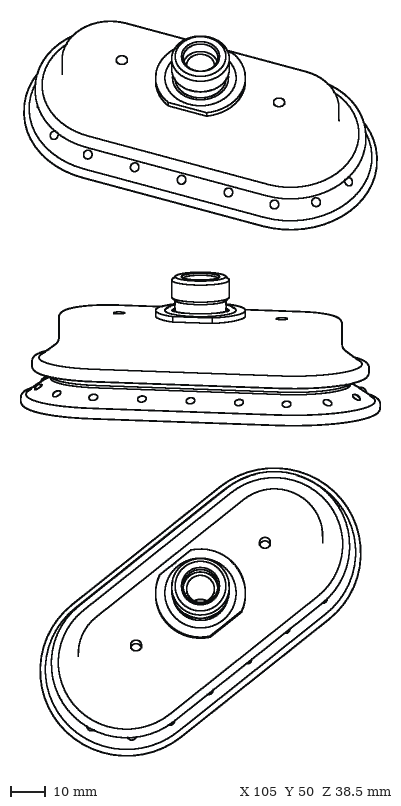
import cadquery as cq
import math

overall_length = 105.0
overall_width = 50.0
overall_height = 38.5
lip_radius = overall_width / 2
end_x = overall_length / 2 - lip_radius

lip_height = 3.1
lip_fillet = 1.0
lip_crease_radius = 23.5
lip_crease_inset = lip_radius - lip_fillet - lip_crease_radius
lip_crease_z = lip_height - lip_fillet + math.sqrt(lip_fillet**2 - lip_crease_inset**2)
lip_slope_bulge = 0.35

waist_radius = 16.4
waist_bottom_z = 7.75
waist_top_z = 8.45

bellows_radius = 21.75
bellows_bottom_z = 10.3
bellows_top_z = 13.8
bellows_fillet = 1.0
bellows_underside_radius = 20.0
bellows_cone_foot_radius = 19.75

body_radius = 14.0
body_top_z = 27.0
body_top_fillet = 1.5
body_cone_top_z = 18.1
body_foot_fillet = 3.0
blind_hole_diameter = 3.2
blind_hole_depth = 5.0
blind_hole_x = 24.0

plate_radius = 13.0
plate_flat_distance = 23.2
plate_top_z = 28.6
ring_outer_radius = 10.3
ring_inner_radius = 8.1
ring_rise = 0.6

neck_diameter = 14.8
neck_top_z = 31.6
head_diameter = 16.66
head_bottom_z = 32.5
head_top_chamfer = 1.0
bore_diameter = 8.0
counterbore_diameter = 10.0
counterbore_depth = 4.0
counterbore_chamfer = 0.5

nub_count = 18
nub_path_radius = 23.5
nub_base_radius = 1.25
nub_rise = 0.6


def slope_point(offset):
    """Point offset square to the lower lip's slope from the middle of its chord, as (radius, z)."""
    run = lip_crease_radius - waist_radius
    rise = waist_bottom_z - lip_crease_z
    chord = math.hypot(run, rise)
    radius = (lip_crease_radius + waist_radius) / 2 + offset * rise / chord
    z = (lip_crease_z + waist_bottom_z) / 2 + offset * run / chord
    return radius, z


def half_section():
    """Half cross-section of the cup in the YZ plane, traced counterclockwise from its centre line."""
    cone_angle = math.atan2(body_cone_top_z - bellows_top_z, bellows_cone_foot_radius - body_radius)
    tangent_length = body_foot_fillet * math.tan((math.pi / 2 - cone_angle) / 2)
    fillet_start = (
        body_radius + tangent_length * math.cos(cone_angle),
        body_cone_top_z - tangent_length * math.sin(cone_angle),
    )
    fillet_end = (body_radius, body_cone_top_z + tangent_length)

    return (
        cq.Workplane("YZ")
        .lineTo(lip_radius - lip_fillet, 0)
        .radiusArc((lip_radius, lip_fillet), -lip_fillet)
        .lineTo(lip_radius, lip_height - lip_fillet)
        .radiusArc((lip_crease_radius, lip_crease_z), -lip_fillet)
        .threePointArc(slope_point(lip_slope_bulge), (waist_radius, waist_bottom_z))
        .lineTo(waist_radius, waist_top_z)
        .lineTo(bellows_underside_radius, bellows_bottom_z)
        .lineTo(bellows_radius - bellows_fillet, bellows_bottom_z)
        .radiusArc((bellows_radius, bellows_bottom_z + bellows_fillet), -bellows_fillet)
        .lineTo(bellows_radius, bellows_top_z - bellows_fillet)
        .radiusArc((bellows_radius - bellows_fillet, bellows_top_z), -bellows_fillet)
        .lineTo(bellows_cone_foot_radius, bellows_top_z)
        .lineTo(*fillet_start)
        .radiusArc(fillet_end, body_foot_fillet)
        .lineTo(body_radius, body_top_z - body_top_fillet)
        .radiusArc((body_radius - body_top_fillet, body_top_z), -body_top_fillet)
        .lineTo(0, body_top_z)
        .close()
    )


def make_cup():
    """Oval cup: the half section swept round each end and along both straight sides."""
    left_end = half_section().revolve(180, (0, 0, 0), (0, 1, 0)).translate((-end_x, 0, 0))
    back_side = half_section().extrude(end_x, both=True)
    half_cup = left_end.union(back_side)
    return half_cup.union(half_cup.rotate((0, 0, 0), (0, 0, 1), 180))


def oval_point(distance, radius):
    """Point at a radius from the oval's spine, reached after a distance along the nubs' path.

    The distance starts at the left end of the front side and runs counterclockwise.
    """
    straight_length = 2 * end_x
    half_length = straight_length + math.pi * nub_path_radius
    side = 1 if distance < half_length else -1
    along = distance % half_length
    if along < straight_length:
        x = along - end_x
        y = -radius
    else:
        angle = (along - straight_length) / nub_path_radius
        x = end_x + radius * math.sin(angle)
        y = -radius * math.cos(angle)
    return side * x, side * y


def make_nubs():
    """Spheres sunk into the slope of the lower lip, leaving a low dome of each one showing."""
    sphere_radius = (nub_base_radius**2 + nub_rise**2) / (2 * nub_rise)
    radius, z = slope_point(lip_slope_bulge + nub_rise - sphere_radius)
    spacing = (4 * end_x + 2 * math.pi * nub_path_radius) / nub_count
    centers = [(*oval_point(index * spacing, radius), z) for index in range(nub_count)]
    return cq.Workplane("XY").pushPoints(centers).sphere(sphere_radius)


def make_plate():
    """Round plate with flats front and back, and the exposed crown of the sealing ring."""
    plate_thickness = plate_top_z - body_top_z
    plate = cq.Workplane("XY").workplane(offset=body_top_z).circle(plate_radius).extrude(plate_thickness)
    flats = cq.Workplane("XY").box(
        2 * plate_radius, plate_flat_distance, overall_height, centered=(True, True, False)
    )
    ring = (
        cq.Workplane("XZ")
        .moveTo(ring_inner_radius, plate_top_z)
        .threePointArc(
            ((ring_inner_radius + ring_outer_radius) / 2, plate_top_z + ring_rise),
            (ring_outer_radius, plate_top_z),
        )
        .lineTo(ring_outer_radius, body_top_z)
        .lineTo(ring_inner_radius, body_top_z)
        .close()
        .revolve(360, (0, 0, 0), (0, 1, 0))
    )
    return plate.intersect(flats).union(ring)


def make_fitting():
    """Neck and head, with chamfers above and below the head."""
    neck_radius = neck_diameter / 2
    head_radius = head_diameter / 2
    return (
        cq.Workplane("XZ")
        .moveTo(0, body_top_z)
        .lineTo(neck_radius, body_top_z)
        .lineTo(neck_radius, neck_top_z)
        .lineTo(head_radius, head_bottom_z)
        .lineTo(head_radius, overall_height - head_top_chamfer)
        .lineTo(head_radius - head_top_chamfer, overall_height)
        .lineTo(0, overall_height)
        .close()
        .revolve(360, (0, 0, 0), (0, 1, 0))
    )


def make_bore():
    """Through bore with a counterbore that is chamfered at its mouth."""
    bore_radius = bore_diameter / 2
    counterbore_radius = counterbore_diameter / 2
    counterbore_floor = overall_height - counterbore_depth
    return (
        cq.Workplane("XZ")
        .lineTo(bore_radius, 0)
        .lineTo(bore_radius, counterbore_floor)
        .lineTo(counterbore_radius, counterbore_floor)
        .lineTo(counterbore_radius, overall_height - counterbore_chamfer)
        .lineTo(counterbore_radius + counterbore_chamfer, overall_height)
        .lineTo(0, overall_height)
        .close()
        .revolve(360, (0, 0, 0), (0, 1, 0))
    )


def make_blind_holes():
    """Two small holes in the top of the body, one on each side of the fitting."""
    return (
        cq.Workplane("XY")
        .workplane(offset=body_top_z)
        .pushPoints([(-blind_hole_x, 0), (blind_hole_x, 0)])
        .circle(blind_hole_diameter / 2)
        .extrude(-blind_hole_depth)
    )


cup = make_cup().union(make_nubs())
result = cup.union(make_plate()).union(make_fitting()).cut(make_bore()).cut(make_blind_holes())